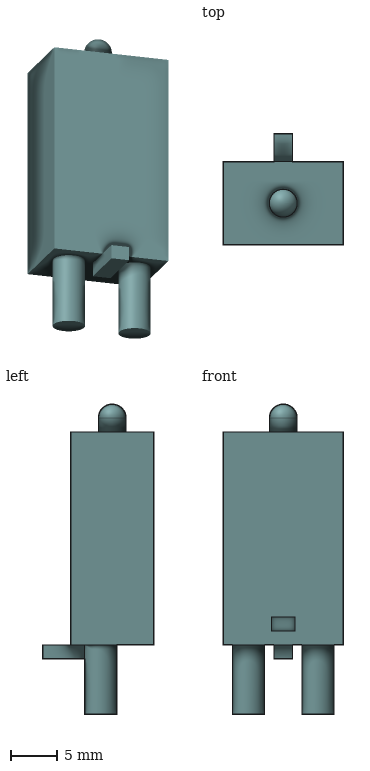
import cadquery as cq

total_height = 33.5
housing_width = 13.0
total_depth = 12.0
tab_overhang = 3.0
housing_depth = total_depth - tab_overhang

lamp_diameter = 3.0
lamp_radius = lamp_diameter / 2
lamp_stem_height = 1.5
lamp_height = lamp_stem_height + lamp_radius

pin_diameter = 3.5
pin_length = 7.5
pin_spacing = 7.5
pin_offset_y = 1.25

housing_height = total_height - lamp_height - pin_length
front_y = -housing_depth / 2
back_y = housing_depth / 2

tab_width = 2.0
tab_thickness = 1.5
tab_length = back_y + tab_overhang - pin_offset_y

recess_width = 2.5
recess_height = 1.5
recess_depth = 0.5
recess_bottom_z = 1.5


def make_block():
    return cq.Workplane("XY").box(
        housing_width, housing_depth, housing_height, centered=(True, True, False)
    )


def make_recess():
    return (
        cq.Workplane("XY")
        .box(recess_width, recess_depth, recess_height, centered=(True, False, False))
        .translate((0, front_y, recess_bottom_z))
    )


def make_pin(center_x):
    return (
        cq.Workplane("XY")
        .center(center_x, pin_offset_y)
        .circle(pin_diameter / 2)
        .extrude(-pin_length)
    )


def make_tab():
    return (
        cq.Workplane("XY")
        .box(tab_width, tab_length, tab_thickness, centered=(True, False, False))
        .translate((0, pin_offset_y, -tab_thickness))
    )


def make_housing():
    """Block with the front recess, rear tab and contact pins as one solid."""
    body = make_block().cut(make_recess()).union(make_tab())
    for side in (-1, 1):
        body = body.union(make_pin(side * pin_spacing / 2))
    return body


def make_lamp():
    """Round lamp standing on the centre of the housing's top face."""
    dome_offset = lamp_radius * 0.5 ** 0.5
    return (
        cq.Workplane("XZ")
        .lineTo(lamp_radius, 0)
        .lineTo(lamp_radius, lamp_stem_height)
        .threePointArc(
            (dome_offset, lamp_stem_height + dome_offset),
            (0, lamp_height),
        )
        .close()
        .revolve(360, (0, 0), (0, 1))
        .translate((0, 0, housing_height))
    )


housing = make_housing()
lamp = make_lamp()

result = cq.Compound.makeCompound([housing.val(), lamp.val()])